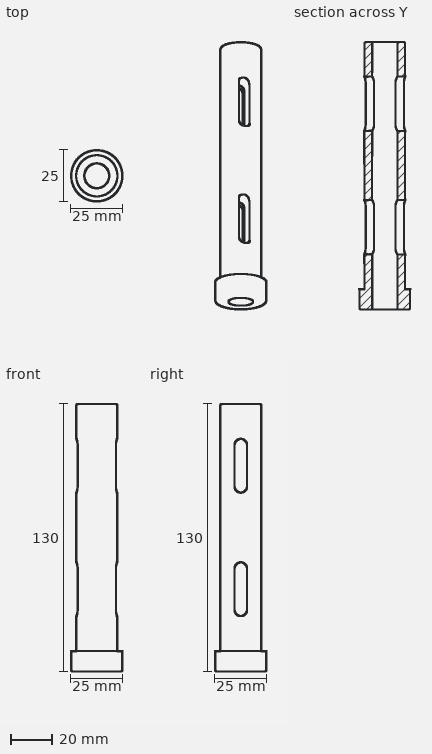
import cadquery as cq

total_height = 130.0
flange_diameter = 25.0
flange_height = 10.0
tube_diameter = 20.0
bore_diameter = 12.0
rim_fillet = 1.0

slot_width = 6.0
slot_length = 26.0
slot_edge_fillet = 0.5
slot_centre_heights = (40.0, 100.0)


def flanged_tube():
    """Tube standing on a flange, with rounded outer rims at both ends."""
    flange = cq.Workplane("XY").circle(flange_diameter / 2).extrude(flange_height)
    tube = cq.Workplane("XY").circle(tube_diameter / 2).extrude(total_height)
    body = flange.faces("<Z").edges().fillet(rim_fillet)
    return body.union(tube.faces(">Z").edges().fillet(rim_fillet))


def slot_cutter(centre_height):
    """Upright slot running along X through both walls of the tube."""
    return (
        cq.Workplane("YZ")
        .center(0, centre_height)
        .slot2D(slot_length, slot_width, 90)
        .extrude(tube_diameter, both=True)
    )


def slot_rim_box(centre_height, side):
    """Region around a slot mouth on one side (+1 or -1 along X) of the tube."""
    margin = slot_width / 2
    inner_x = (tube_diameter + bore_diameter) / 4
    return cq.selectors.BoxSelector(
        (side * inner_x, -slot_width, centre_height - slot_length / 2 - margin),
        (side * tube_diameter, slot_width, centre_height + slot_length / 2 + margin),
    )


result = flanged_tube()
for height in slot_centre_heights:
    result = result.cut(slot_cutter(height))
    for mouth_side in (-1, 1):
        result = result.edges(slot_rim_box(height, mouth_side)).fillet(slot_edge_fillet)

bore = cq.Workplane("XY").circle(bore_diameter / 2).extrude(total_height)
result = result.cut(bore)